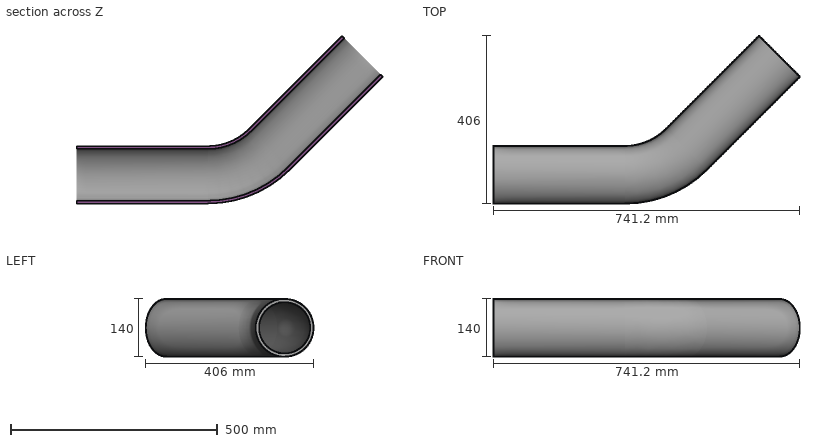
import cadquery as cq
import math

outer_diameter = 140.0
bore_diameter = 124.0

leg_length = 318.0
bend_radius = 210.5
bend_angle = 45.0

half_angle = math.radians(bend_angle / 2)
full_angle = math.radians(bend_angle)


def point_on_bend(angle):
    """Centreline point after turning through the angle, in radians."""
    return (bend_radius * math.sin(angle), bend_radius * (1 - math.cos(angle)))


bend_end = point_on_bend(full_angle)
pipe_end = (
    bend_end[0] + leg_length * math.cos(full_angle),
    bend_end[1] + leg_length * math.sin(full_angle),
)

centreline = (
    cq.Workplane("XY")
    .moveTo(-leg_length, 0)
    .lineTo(0, 0)
    .threePointArc(point_on_bend(half_angle), bend_end)
    .lineTo(*pipe_end)
)

result = (
    cq.Workplane("YZ", origin=(-leg_length, 0, 0))
    .circle(outer_diameter / 2)
    .circle(bore_diameter / 2)
    .sweep(centreline)
)